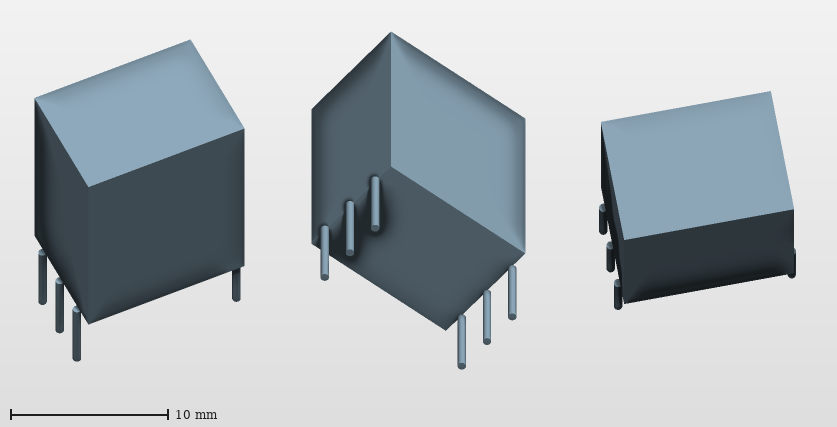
import cadquery as cq

total_height = 19.26
pin_span_y = 11.79

housing_width = 8.0
housing_depth = 11.02
housing_height = 14.18

pin_diameter = 0.54
pin_pitch = 2.55
pins_per_row = 3
pin_length = total_height - housing_height
row_offset = (pin_span_y - pin_diameter) / 2


def make_housing():
    """Plain block standing on the plane Z = 0."""
    return cq.Workplane("XY").box(
        housing_width, housing_depth, housing_height, centered=(True, True, False)
    )


def make_pin(x, y):
    """Round pin reaching down from the underside plane of the housing."""
    return cq.Workplane("XY").center(x, y).circle(pin_diameter / 2).extrude(-pin_length)


housing = make_housing()

pins = []
for row_y in (-row_offset, row_offset):
    for index in range(pins_per_row):
        pin_x = (index - (pins_per_row - 1) / 2) * pin_pitch
        pins.append(make_pin(pin_x, row_y))

result = cq.Compound.makeCompound([housing.val(), *[pin.val() for pin in pins]])